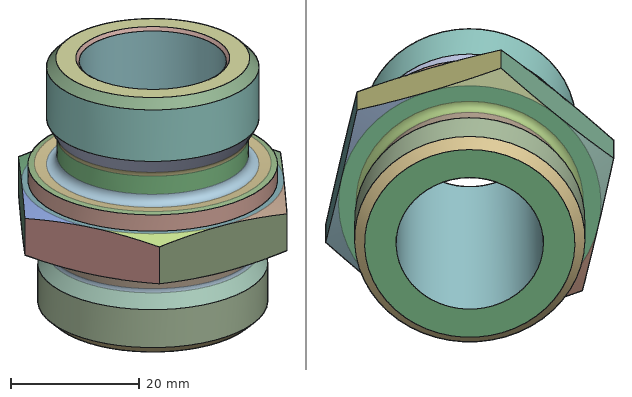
import cadquery as cq
import math

total_height = 43.0
hex_bottom = 14.05
hex_top = 22.05
collar_edge = 24.85
collar_ridge = 25.0
lower_body_top = 7.95
upper_body_bottom = 32.7

hex_across_corners = 47.35
hex_flat_radius = hex_across_corners / 2 * math.cos(math.radians(30))
hex_chamfer_angle = 15.0
corner_clearance = 0.45

lower_body_radius = 36.0 / 2
lower_neck_radius = 33.0 / 2
upper_body_radius = 33.25 / 2
upper_neck_radius = 29.9 / 2
collar_radius = 39.0 / 2
ridge_radius = 37.0 / 2
bore_radius = 23.0 / 2

end_chamfer_height = 1.45
lower_chamfer_width = 1.55
upper_chamfer_width = 1.45
groove_angle = 30.0
collar_dish_angle = 5.0
lower_groove_fillet = 1.3
upper_groove_fillet = 1.5
bore_chamfer = 0.5


def cone_height(radial_step):
    """Height of a groove cone for a given change of radius."""
    return radial_step / math.tan(math.radians(groove_angle))


def toward(start, target, distance):
    """Point at a distance from start on the way to target."""
    length = math.dist(start, target)
    return tuple(s + (t - s) * distance / length for s, t in zip(start, target))


def add_round_corner(path, before, corner, after, radius):
    """Draw a line up to the corner and round it with a tangent arc."""
    to_before = math.atan2(before[1] - corner[1], before[0] - corner[0])
    to_after = math.atan2(after[1] - corner[1], after[0] - corner[0])
    half_angle = math.acos(math.cos(to_before - to_after)) / 2
    setback = radius / math.tan(half_angle)
    arc_start = toward(corner, before, setback)
    arc_end = toward(corner, after, setback)
    chord_middle = tuple((s + e) / 2 for s, e in zip(arc_start, arc_end))
    arc_middle = toward(corner, chord_middle, radius / math.sin(half_angle) - radius)
    return path.lineTo(*arc_start).threePointArc(arc_middle, arc_end)


def make_turned_body():
    """Solid of revolution: both end bodies, their grooves and the collar."""
    lower_body_edge = (lower_body_radius, lower_body_top)
    lower_neck_bottom = (lower_neck_radius,
                         lower_body_top + cone_height(lower_body_radius - lower_neck_radius))
    lower_neck_top = (lower_neck_radius, hex_bottom)
    hex_underside = (collar_radius, hex_bottom)

    ridge = (ridge_radius, collar_ridge)
    dish_depth = (ridge_radius - upper_neck_radius) * math.tan(math.radians(collar_dish_angle))
    upper_neck_base = (upper_neck_radius, collar_ridge - dish_depth)
    upper_neck_top = (upper_neck_radius,
                      upper_body_bottom - cone_height(upper_body_radius - upper_neck_radius))
    upper_body_edge = (upper_body_radius, upper_body_bottom)

    path = (
        cq.Workplane("XZ")
        .lineTo(lower_body_radius - lower_chamfer_width, 0)
        .lineTo(lower_body_radius, end_chamfer_height)
        .lineTo(*lower_body_edge)
    )
    path = add_round_corner(path, lower_body_edge, lower_neck_bottom, lower_neck_top, lower_groove_fillet)
    path = add_round_corner(path, lower_neck_bottom, lower_neck_top, hex_underside, lower_groove_fillet)
    path = path.lineTo(*hex_underside).lineTo(collar_radius, collar_edge).lineTo(*ridge)
    path = add_round_corner(path, ridge, upper_neck_base, upper_neck_top, upper_groove_fillet)
    path = add_round_corner(path, upper_neck_base, upper_neck_top, upper_body_edge, upper_groove_fillet)
    path = (
        path.lineTo(*upper_body_edge)
        .lineTo(upper_body_radius, total_height - end_chamfer_height)
        .lineTo(upper_body_radius - upper_chamfer_width, total_height)
        .lineTo(0, total_height)
        .close()
    )
    return path.revolve(360, (0, 0, 0), (0, 1, 0))


def make_hexagon():
    """Hexagon with corners on the Y axis, chamfered conically on both faces."""
    hexagon = (
        cq.Workplane("XY")
        .workplane(offset=hex_bottom)
        .polygon(6, hex_across_corners)
        .extrude(hex_top - hex_bottom)
        .rotate((0, 0, 0), (0, 0, 1), 90)
    )
    outer_radius = hex_across_corners / 2 + corner_clearance
    drop = (outer_radius - hex_flat_radius) * math.tan(math.radians(hex_chamfer_angle))
    envelope = (
        cq.Workplane("XZ")
        .moveTo(0, hex_bottom)
        .lineTo(hex_flat_radius, hex_bottom)
        .lineTo(outer_radius, hex_bottom + drop)
        .lineTo(outer_radius, hex_top - drop)
        .lineTo(hex_flat_radius, hex_top)
        .lineTo(0, hex_top)
        .close()
        .revolve(360, (0, 0, 0), (0, 1, 0))
    )
    return hexagon.intersect(envelope)


def make_bore():
    """Through bore, countersunk at the upper end."""
    return (
        cq.Workplane("XZ")
        .lineTo(bore_radius, 0)
        .lineTo(bore_radius, total_height - bore_chamfer)
        .lineTo(bore_radius + bore_chamfer, total_height)
        .lineTo(0, total_height)
        .close()
        .revolve(360, (0, 0, 0), (0, 1, 0))
    )


result = make_turned_body().union(make_hexagon()).cut(make_bore())